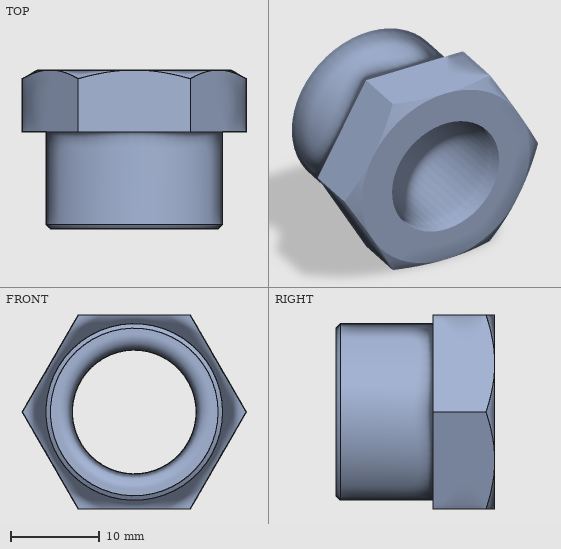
import cadquery as cq
import math

ACROSS_CORNERS = 25.4
ACROSS_FLATS = ACROSS_CORNERS * math.cos(math.radians(30))
HEAD_LENGTH = 7.0
HEAD_CHAMFER_ANGLE = math.radians(30)

BARREL_RADIUS = 10.0
BARREL_LENGTH = 11.0
BARREL_CHAMFER = 0.5

BORE_RADIUS = 7.0
CONE_RADIUS = 7.5
MOUTH_RADIUS = 8.75
CONE_ANGLE = math.radians(22)


def revolve_about_y(profile):
    """Turn a closed radius / Y profile into a solid of revolution."""
    return profile.close().revolve(360, (0, 0, 0), (0, 1, 0))


def make_head():
    """Hexagon from Y = 0 to HEAD_LENGTH, its far corners turned to a cone."""
    hexagon = (
        cq.Workplane("XZ")
        .polygon(6, ACROSS_CORNERS)
        .extrude(-HEAD_LENGTH)
    )
    corner_radius = ACROSS_CORNERS / 2
    face_radius = ACROSS_FLATS / 2
    chamfer_depth = (corner_radius - face_radius) * math.tan(HEAD_CHAMFER_ANGLE)
    envelope = revolve_about_y(
        cq.Workplane("XY")
        .lineTo(corner_radius, 0)
        .lineTo(corner_radius, HEAD_LENGTH - chamfer_depth)
        .lineTo(face_radius, HEAD_LENGTH)
        .lineTo(0, HEAD_LENGTH)
    )
    return hexagon.intersect(envelope)


def make_barrel():
    """Plain cylinder below the head, with a chamfered free end."""
    barrel = cq.Workplane("XZ").circle(BARREL_RADIUS).extrude(BARREL_LENGTH)
    return barrel.faces("<Y").edges().chamfer(BARREL_CHAMFER)


def make_bore():
    """Through bore with a tapered throat and rounded mouth."""
    end_y = -BARREL_LENGTH

    round_radius = (MOUTH_RADIUS - CONE_RADIUS) / math.cos(CONE_ANGLE)
    mid_angle = (math.pi / 2 - CONE_ANGLE) / 2
    arc_center_y = end_y + round_radius
    arc_center_radius = MOUTH_RADIUS

    arc_middle = (
        arc_center_radius - round_radius * math.sin(mid_angle),
        arc_center_y - round_radius * math.cos(mid_angle),
    )
    arc_end_angle = 2 * mid_angle
    arc_end = (
        arc_center_radius - round_radius * math.sin(arc_end_angle),
        arc_center_y - round_radius * math.cos(arc_end_angle),
    )
    throat_y = arc_end[1] + (arc_end[0] - BORE_RADIUS) / math.tan(CONE_ANGLE)
    return revolve_about_y(
        cq.Workplane("XY")
        .moveTo(0, end_y)
        .lineTo(MOUTH_RADIUS, end_y)
        .threePointArc(arc_middle, arc_end)
        .lineTo(BORE_RADIUS, throat_y)
        .lineTo(BORE_RADIUS, HEAD_LENGTH)
        .lineTo(0, HEAD_LENGTH)
    )


result = make_head().union(make_barrel()).cut(make_bore())